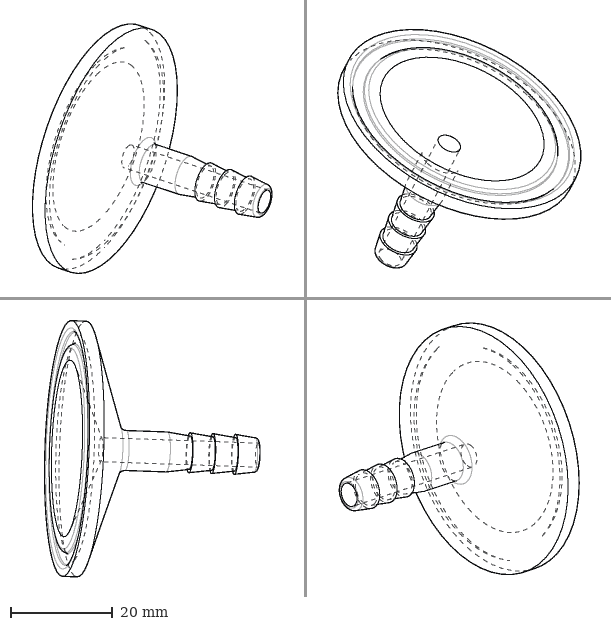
import cadquery as cq
import math

total_length = 38.1
bore_radius = 4.75 / 2

flange_radius = 25.2
rim_thickness = 2.9
cone_angle = math.radians(70)
neck_fillet = 1.5
funnel_mouth_radius = 17.4
funnel_depth = 6.75

groove_center_radius = 21.75
groove_bottom_radius = 1.2
groove_lip_radius = 0.75
groove_wall_length = 0.35
groove_wall_angle = math.radians(70)

tube_radius = 7.9 / 2
barb_small_radius = 3.35
barb_pitch = 4.55
barb_count = 4
tip_fillet = 0.7

barbs_start = total_length - barb_count * barb_pitch
cone_end = rim_thickness + (flange_radius - tube_radius) / math.tan(cone_angle)


def revolve_about_x(profile):
    """Revolve a closed profile, drawn as (x, radius), about the X axis."""
    return profile.close().revolve(360, (0, 0, 0), (1, 0, 0))


def circle_edge_at(x):
    """Selector for the circular edge centered on the axis at the given x."""
    return cq.selectors.NearestToPointSelector((x, 0, 0))


def make_body():
    """Solid flange, cone, neck and barbed tail with rounded neck and tip."""
    profile = (
        cq.Workplane("XY")
        .lineTo(0, flange_radius)
        .lineTo(rim_thickness, flange_radius)
        .lineTo(cone_end, tube_radius)
        .lineTo(barbs_start, tube_radius)
    )
    for barb in range(barb_count):
        barb_end = barbs_start + (barb + 1) * barb_pitch
        profile = profile.lineTo(barb_end, barb_small_radius)
        if barb < barb_count - 1:
            profile = profile.lineTo(barb_end, tube_radius)
    profile = profile.lineTo(total_length, 0)
    body = revolve_about_x(profile)
    body = body.edges(circle_edge_at(cone_end)).fillet(neck_fillet)
    return body.edges(circle_edge_at(total_length)).fillet(tip_fillet)


def make_bore():
    """Conical funnel in the flange face leading into the through bore."""
    profile = (
        cq.Workplane("XY")
        .lineTo(0, funnel_mouth_radius)
        .lineTo(funnel_depth, bore_radius)
        .lineTo(total_length, bore_radius)
        .lineTo(total_length, 0)
    )
    return revolve_about_x(profile)


def make_groove():
    """Ring with a round floor, sloped walls and rounded lips, symmetric about its mid radius."""
    sine = math.sin(groove_wall_angle)
    cosine = math.cos(groove_wall_angle)
    half_sine = math.sin(groove_wall_angle / 2)
    half_cosine = math.cos(groove_wall_angle / 2)

    wall_top_depth = groove_lip_radius * (1 - cosine)
    wall_bottom_depth = wall_top_depth + groove_wall_length * sine
    floor_depth = wall_bottom_depth + groove_bottom_radius * (1 - cosine)
    wall_bottom_half = groove_bottom_radius * sine
    wall_top_half = wall_bottom_half + groove_wall_length * cosine
    mouth_half = wall_top_half + groove_lip_radius * sine
    lip_mid_depth = groove_lip_radius * (1 - half_cosine)
    lip_mid_half = mouth_half - groove_lip_radius * half_sine

    middle = groove_center_radius
    profile = (
        cq.Workplane("XY")
        .moveTo(0, middle - mouth_half)
        .threePointArc((lip_mid_depth, middle - lip_mid_half), (wall_top_depth, middle - wall_top_half))
        .lineTo(wall_bottom_depth, middle - wall_bottom_half)
        .threePointArc((floor_depth, middle), (wall_bottom_depth, middle + wall_bottom_half))
        .lineTo(wall_top_depth, middle + wall_top_half)
        .threePointArc((lip_mid_depth, middle + lip_mid_half), (0, middle + mouth_half))
    )
    return revolve_about_x(profile)


result = make_body().cut(make_bore()).cut(make_groove())